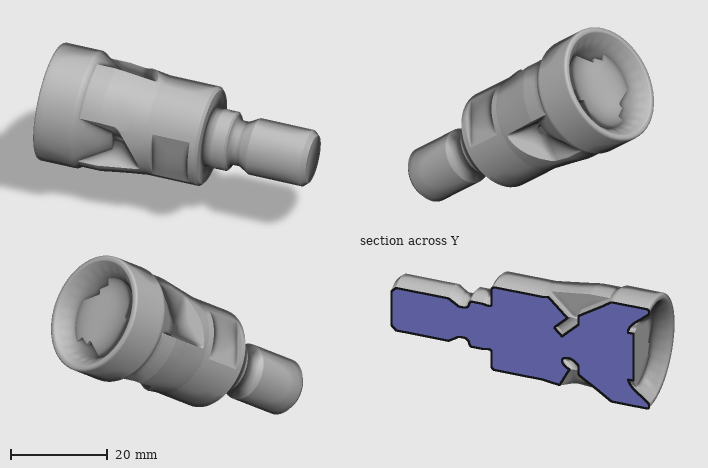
import cadquery as cq
import math

cup_radius = 12.5
lip_fillet = 0.55
mouth_radius = 11.35
throat_radius = 8.5
throat_depth = 3.4
cup_back_x = 9.35
cup_back_radius = 11.85
shoulder_fillet = 1.15
skirt_end_x = 15.7
skirt_end_radius = 7.75
recess_radius = 5.4
recess_depth = 1.4
recess_arc_radius = 4.05
skirt_tip_fillet = 0.3

body_start_x = 9.7
body_radius = 11.9
body_taper_x = 13.6
rear_start_x = 23.6
rear_radius = 10.55
body_end_x = 34.95
body_end_chamfer = 0.55

flat_start_x = 25.0
flat_length = 8.1
flat_half_width = 9.0

shank_end_x = 57.0
collar_radius = 6.25
relief_radius = 6.1
relief_start_x = 35.3
relief_end_x = 35.95
collar_start_x = 36.7
collar_end_x = 39.45
collar_chamfer = 0.4
neck_radius = 4.75
neck_fillet = 1.1
neck_end_x = 41.85
neck_cone_angle = 29.0
pin_radius = 6.0
pin_chamfer_length = 1.0
pin_chamfer_depth = 0.9

pocket_count = 3
floor_height = 5.5
wall_offset = 1.25
ramp_foot_x = 17.5
ramp_angle = 45.0
ramp_fillet = 1.95
wall_fillet = 0.5
slot_far_offset = -1.2
slot_near_height = 6.65
slot_far_height = 6.9

hole_radius = 1.2
hole_offset = 2.9
hole_start_x = 16.9
hole_depth = 4.55

back_cone_slope = (cup_back_radius - skirt_end_radius) / (skirt_end_x - cup_back_x)
cup_shoulder_x = cup_back_x - (cup_radius - cup_back_radius) / back_cone_slope


def revolve_about_x(outline):
    return outline.close().revolve(360, (0, 0, 0), (1, 0, 0))


def make_body():
    """Core inside the cup, tapered body and shank."""
    chamfer_x = body_end_x - body_end_chamfer
    neck_start_x = collar_end_x + collar_chamfer + neck_fillet
    cone_angle = math.radians(neck_cone_angle)
    cone_start_x = neck_end_x + neck_fillet * math.sin(cone_angle)
    cone_start_radius = neck_radius + neck_fillet * (1 - math.cos(cone_angle))
    pin_start_x = cone_start_x + (pin_radius - cone_start_radius) / math.tan(cone_angle)

    return revolve_about_x(
        cq.Workplane("XY")
        .moveTo(throat_depth, 0)
        .lineTo(throat_depth, throat_radius)
        .lineTo(cup_back_x, cup_back_radius)
        .lineTo(body_start_x, body_radius)
        .lineTo(body_taper_x, body_radius)
        .lineTo(rear_start_x, rear_radius)
        .lineTo(chamfer_x, rear_radius)
        .lineTo(body_end_x, rear_radius - body_end_chamfer)
        .lineTo(body_end_x, collar_radius)
        .lineTo(relief_start_x, relief_radius)
        .lineTo(relief_end_x, relief_radius)
        .lineTo(collar_start_x, collar_radius)
        .lineTo(collar_end_x, collar_radius)
        .lineTo(collar_end_x + collar_chamfer, neck_radius + neck_fillet)
        .radiusArc((neck_start_x, neck_radius), -neck_fillet)
        .lineTo(neck_end_x, neck_radius)
        .radiusArc((cone_start_x, cone_start_radius), -neck_fillet)
        .lineTo(pin_start_x, pin_radius)
        .lineTo(shank_end_x - pin_chamfer_length, pin_radius)
        .lineTo(shank_end_x, pin_radius - pin_chamfer_depth)
        .lineTo(shank_end_x, 0)
    )


def make_cup():
    """Open cup whose conical skirt reaches back across the pockets and closes their front ends."""
    cup = revolve_about_x(
        cq.Workplane("XY")
        .moveTo(0, mouth_radius)
        .lineTo(0, cup_radius)
        .lineTo(cup_shoulder_x, cup_radius)
        .lineTo(skirt_end_x, skirt_end_radius)
        .lineTo(skirt_end_x, recess_radius)
        .lineTo(throat_depth + recess_depth, recess_radius)
        .radiusArc((throat_depth, throat_radius), -recess_arc_radius)
    )
    shoulder_edge = cq.selectors.NearestToPointSelector((cup_shoulder_x, 0, 0))
    widest_edge = cq.selectors.RadiusNthSelector(-1)
    cup = cup.edges(shoulder_edge).fillet(shoulder_fillet)
    cup = cup.faces("<X").edges().fillet(lip_fillet)
    return cup.faces(">X").edges(widest_edge).fillet(skirt_tip_fillet)


def make_pocket():
    """Cutter with a flat floor, a side wall, a ramp at the back, a side slot and an angled hole."""
    reach = 2 * cup_radius
    ramp_run = (reach - floor_height) / math.tan(math.radians(ramp_angle))
    pocket = (
        cq.Workplane("XZ", origin=(0, wall_offset, 0))
        .moveTo(0, floor_height)
        .lineTo(ramp_foot_x, floor_height)
        .lineTo(ramp_foot_x + ramp_run, reach)
        .lineTo(0, reach)
        .close()
        .extrude(-reach)
    )
    foot = cq.selectors.NearestToPointSelector((ramp_foot_x, wall_offset + reach / 2, floor_height))
    pocket = pocket.edges(foot).fillet(ramp_fillet)
    ramp_wall_edge = cq.selectors.NearestToPointSelector(
        (ramp_foot_x + ramp_run / 2, wall_offset, (floor_height + reach) / 2)
    )
    pocket = pocket.edges(ramp_wall_edge).fillet(wall_fillet)

    slot = (
        cq.Workplane("YZ", origin=(throat_depth, 0, 0))
        .moveTo(wall_offset, slot_near_height)
        .lineTo(slot_far_offset, slot_far_height)
        .lineTo(slot_far_offset, throat_radius)
        .lineTo(wall_offset, throat_radius)
        .close()
        .extrude(cup_back_x - throat_depth)
    )

    angle = math.radians(ramp_angle)
    into_ramp = cq.Vector(math.sin(angle), 0, -math.cos(angle))
    hole_mouth = cq.Vector(hole_start_x, hole_offset, floor_height)
    hole_start = hole_mouth - into_ramp * hole_depth
    hole = cq.Solid.makeCylinder(hole_radius, 2 * hole_depth, hole_start, into_ramp)
    return pocket.union(slot).union(cq.Workplane(hole))


def cut_pockets(part):
    pocket = make_pocket()
    for index in range(pocket_count):
        part = part.cut(pocket.rotate((0, 0, 0), (1, 0, 0), index * 360 / pocket_count))
    return part


def cut_wrench_flats(part):
    depth = rear_radius - flat_half_width
    for side in (1, -1):
        flat = cq.Workplane("XY").box(flat_length, 2 * depth, 2 * rear_radius).translate(
            (flat_start_x + flat_length / 2, side * (flat_half_width + depth), 0)
        )
        part = part.cut(flat)
    return part


body = cut_wrench_flats(cut_pockets(make_body()))
result = body.union(make_cup())